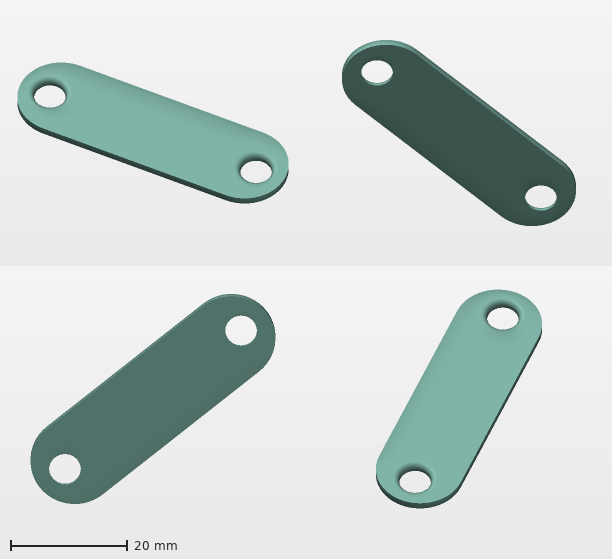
import cadquery as cq

length = 50.0
width = 15.2
thickness = 1.4

hole_spacing = 39.15
hole_diameter = 5.45
rim_diameter = 7.5
rim_radius = (rim_diameter - hole_diameter) / 2

plate = cq.Workplane("XY").slot2D(length, width).extrude(thickness)


def rounded_hole_cutter(center_x):
    """Half section of a hole that flares convexly to the rim, revolved about its axis."""
    hole_radius = hole_diameter / 2
    throat_height = thickness - rim_radius
    diagonal = rim_radius * 0.5**0.5
    arc_center_radius = hole_radius + rim_radius
    section = (
        cq.Workplane("XZ")
        .lineTo(hole_radius, 0)
        .lineTo(hole_radius, throat_height)
        .threePointArc(
            (arc_center_radius - diagonal, throat_height + diagonal),
            (rim_diameter / 2, thickness),
        )
        .lineTo(0, thickness)
        .close()
    )
    cutter = section.revolve(360, (0, 0), (0, 1))
    return cutter.translate((center_x, 0, 0))


result = plate
for side in (-1, 1):
    result = result.cut(rounded_hole_cutter(side * hole_spacing / 2))